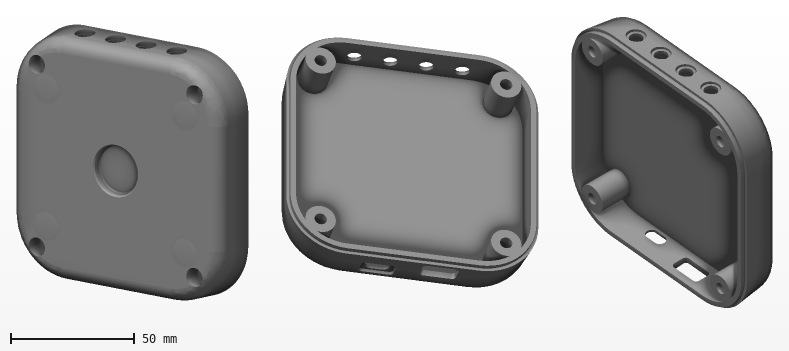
import cadquery as cq
import math

rim_size = 104.6
body_depth = 18.4
draft_angle = 5.0
corner_radius = 24.9
plate_fillet = 6.0

lip_inset = 1.3
lip_depth = 2.0
back_y = body_depth + lip_depth
lip_size = rim_size - 2 * lip_inset

plate_thickness = 5.2
lip_wall = 2.3
cavity_size = lip_size - 2 * lip_wall
cavity_corner_radius = corner_radius - lip_inset - lip_wall

screw_offset = 38.5
screw_diameter = 5.1
screw_head_diameter = 8.0
screw_head_depth = 8.4
post_diameter = 12.6

foot_x = 33.9
foot_z = 29.0
foot_radius = 6.1
foot_height = 0.4

recess_mouth_radius = 11.0
recess_depth = 3.3
recess_chamfer = 0.5

cable_hole_count = 4
cable_hole_pitch = 15.0
cable_hole_y = 11.0
cable_hole_diameter = 6.1
cable_seat_diameter = 8.5
cable_seat_depth = 1.4

connector_x = 12.5
wide_opening = (14.9, 8.2)
wide_opening_y = 12.8
slot_seat = (14.3, 7.3)
slot_seat_depth = 1.7
slot_opening = (10.3, 5.4)
slot_y = 9.3
connector_corner_radius = 1.7

cutter_overrun = 1.0


def along_y(y):
    """Workplane at height y whose local axes are X and Z and whose normal is +Y."""
    return cq.Workplane(cq.Plane(origin=(0, y, 0), xDir=(-1, 0, 0), normal=(0, 1, 0)))


def along_z(z, x, y):
    """Workplane at (x, y, z) with normal +Z."""
    return cq.Workplane("XY", origin=(x, y, z))


def rounded_square(size, radius, y_start, depth):
    return along_y(y_start).rect(size, size).extrude(depth).edges("|Y").fillet(radius)


def make_body():
    """Drafted square block with constant-radius corners and a rounded plate edge."""
    plane = cq.Plane(origin=(0, body_depth, 0), xDir=(1, 0, 0), normal=(0, -1, 0))
    block = cq.Workplane(plane).rect(rim_size, rim_size).extrude(body_depth, taper=draft_angle)
    block = block.edges("not(#Y)").fillet(corner_radius)
    return block.faces("<Y").edges().fillet(plate_fillet)


def make_cavity():
    """Interior space, open at the back, with a post left standing at each screw."""
    depth = back_y - plate_thickness
    cavity = rounded_square(cavity_size, cavity_corner_radius, plate_thickness, depth)
    posts = along_y(plate_thickness).rect(2 * screw_offset, 2 * screw_offset, forConstruction=True)
    return cavity.cut(posts.vertices().circle(post_diameter / 2).extrude(depth))


def make_screw_holes():
    corners = along_y(0).rect(2 * screw_offset, 2 * screw_offset, forConstruction=True).vertices()
    heads = corners.circle(screw_head_diameter / 2).extrude(screw_head_depth)
    shanks = corners.circle(screw_diameter / 2).extrude(back_y)
    return heads.union(shanks)


def make_recess():
    """Revolved cutter: mouth chamfer, drafted wall, then a chamfer down to the flat floor."""
    wall_top = recess_chamfer
    wall_bottom = recess_depth - recess_chamfer
    upper_radius = recess_mouth_radius - recess_chamfer
    lower_radius = upper_radius - (wall_bottom - wall_top) * math.tan(math.radians(draft_angle))
    profile = [
        (0, 0),
        (recess_mouth_radius, 0),
        (upper_radius, wall_top),
        (lower_radius, wall_bottom),
        (lower_radius - recess_chamfer, recess_depth),
        (0, recess_depth),
    ]
    return cq.Workplane("XY").polyline(profile).close().revolve(360, (0, 0), (0, 1))


def make_feet():
    """Four shallow spherical caps standing on the plate."""
    dome_radius = (foot_radius**2 + foot_height**2) / (2 * foot_height)
    dome_center_y = dome_radius - foot_height
    dome = cq.Workplane("XY").sphere(dome_radius).translate((0, dome_center_y, 0))
    cap = along_y(-foot_height).circle(2 * foot_radius).extrude(foot_height).intersect(dome)
    centers = [(sx * foot_x, 0, sz * foot_z) for sx in (-1, 1) for sz in (-1, 1)]
    return [cap.translate(center) for center in centers]


def drafted_wall(y):
    """Distance from the part axis to a flat outer wall at height y."""
    return rim_size / 2 - (body_depth - y) * math.tan(math.radians(draft_angle))


def cable_hole_row(start_z, diameter):
    row = along_z(start_z, 0, cable_hole_y).rarray(cable_hole_pitch, 1, cable_hole_count, 1)
    return row.circle(diameter / 2).extrude(rim_size / 2 - start_z)


def make_cable_holes():
    bore_start = cavity_size / 2 - cutter_overrun
    seat_start = drafted_wall(cable_hole_y) - cable_seat_depth
    bores = cable_hole_row(bore_start, cable_hole_diameter)
    return bores.union(cable_hole_row(seat_start, cable_seat_diameter))


def rounded_window(size, x, y, depth):
    """Rectangular cutter with rounded corners, entering from the -Z side."""
    window = along_z(-rim_size / 2, x, y).rect(*size).extrude(depth)
    return window.edges("|Z").fillet(connector_corner_radius)


def make_connector_openings():
    """A plain rounded window and, beside it, a slot sunk in a shallow rounded seat."""
    through = (rim_size - cavity_size) / 2 + cutter_overrun
    seat_depth = rim_size / 2 - drafted_wall(slot_y) + slot_seat_depth
    window = rounded_window(wide_opening, -connector_x, wide_opening_y, through)
    seat = rounded_window(slot_seat, connector_x, slot_y, seat_depth)
    slot = along_z(-rim_size / 2, connector_x, slot_y).slot2D(*slot_opening).extrude(through)
    return window.union(seat).union(slot)


lip = rounded_square(lip_size, corner_radius - lip_inset, body_depth, lip_depth)
result = make_body().union(lip)
result = result.cut(make_cavity())
result = result.cut(make_recess())
for foot in make_feet():
    result = result.union(foot)
result = result.cut(make_screw_holes())
result = result.cut(make_cable_holes())
result = result.cut(make_connector_openings())